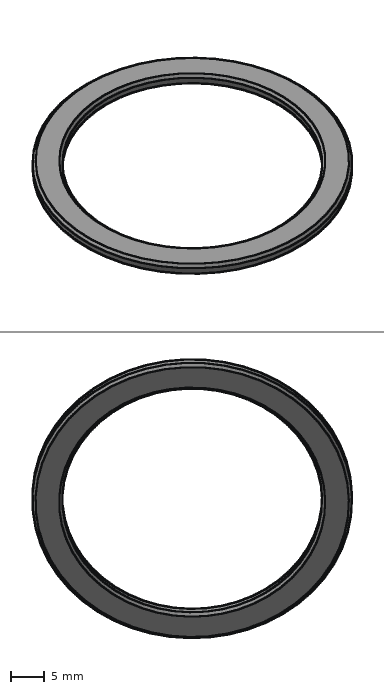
import cadquery as cq

outer_diameter = 48.0
bore_diameter = 39.0
thickness = 2.0
edge_chamfer = 0.5

ring = (
    cq.Workplane("XY")
    .circle(outer_diameter / 2)
    .circle(bore_diameter / 2)
    .extrude(thickness)
)

result = ring.faces("|Z").edges().chamfer(edge_chamfer)